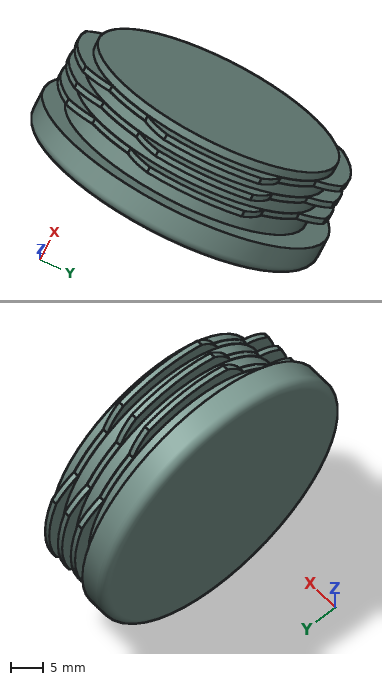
import cadquery as cq
import math

CAP_DIAMETER = 50
CAP_THICKNESS = 5
CAP_FILLET = 1.5
HUB_DIAMETER = 42
TOTAL_LENGTH = 16.5

RIB_COUNT = 3
RIB_THICKNESS = 1
RIB_PITCH = 3
FIRST_RIB_X = 8
RIB_RADIUS = 23.8
RELIEF_RADIUS = 21.15
LOBE_COUNT = 4
LOBE_HALF_ANGLE = 20.2
RELIEF_START_ANGLE = 33.1
FLANK_RADIUS = 11


def polar(radius, angle):
    """Point at an angle in degrees."""
    radians = math.radians(angle)
    return (radius * math.cos(radians), radius * math.sin(radians))


def flank_midpoint(start, end):
    """Middle of the outward-bulging flank arc, travelling counter-clockwise."""
    dx = end[0] - start[0]
    dy = end[1] - start[1]
    chord = math.hypot(dx, dy)
    bulge = FLANK_RADIUS - math.sqrt(FLANK_RADIUS**2 - (chord / 2) ** 2)
    return (
        (start[0] + end[0]) / 2 + bulge * dy / chord,
        (start[1] + end[1]) / 2 - bulge * dx / chord,
    )


def make_rib(x_start):
    """Rib disc with four lobes joined by curved flanks and shallow reliefs."""
    lobe_spacing = 360 / LOBE_COUNT
    outline = cq.Workplane("YZ", origin=(x_start, 0, 0)).moveTo(*polar(RIB_RADIUS, -LOBE_HALF_ANGLE))
    for index in range(LOBE_COUNT):
        centre = index * lobe_spacing
        next_centre = centre + lobe_spacing
        lobe_end = polar(RIB_RADIUS, centre + LOBE_HALF_ANGLE)
        relief_start = polar(RELIEF_RADIUS, centre + RELIEF_START_ANGLE)
        relief_middle = polar(RELIEF_RADIUS, centre + lobe_spacing / 2)
        relief_end = polar(RELIEF_RADIUS, next_centre - RELIEF_START_ANGLE)
        next_lobe = polar(RIB_RADIUS, next_centre - LOBE_HALF_ANGLE)
        outline = (
            outline.threePointArc(polar(RIB_RADIUS, centre), lobe_end)
            .threePointArc(flank_midpoint(lobe_end, relief_start), relief_start)
            .threePointArc(relief_middle, relief_end)
            .threePointArc(flank_midpoint(relief_end, next_lobe), next_lobe)
        )
    return outline.close().extrude(RIB_THICKNESS)


cap = cq.Workplane("YZ").circle(CAP_DIAMETER / 2).extrude(CAP_THICKNESS)
cap = cap.faces("<X").edges().fillet(CAP_FILLET)
hub = cq.Workplane("YZ").circle(HUB_DIAMETER / 2).extrude(TOTAL_LENGTH)
result = cap.union(hub)
for rib_index in range(RIB_COUNT):
    result = result.union(make_rib(FIRST_RIB_X + rib_index * RIB_PITCH))